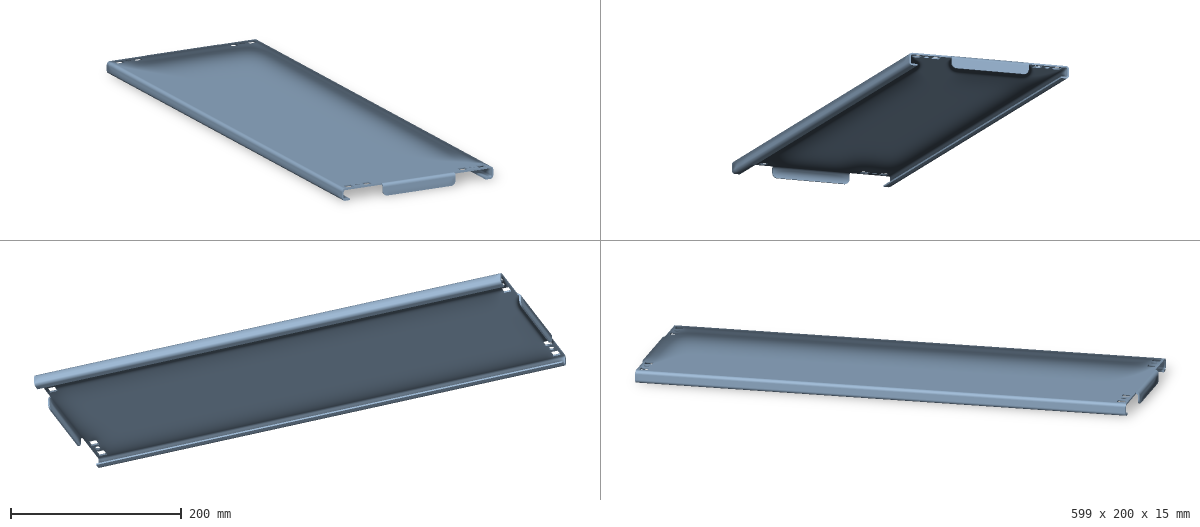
import cadquery as cq

length = 599.0
width = 200.0
height = 15.0

thickness = 2.0
outer_radius = 4.0
inner_radius = outer_radius - thickness
lip_width = 10.0

flap_width = 96.0
flap_corner_radius = 6.0

hole_inset = 12.0
square_size = 9.5
round_diameter = 6.5
round_y = 75.5
square_spacing = 12.0

panel_length = length - 2 * outer_radius
hole_x = length / 2 - hole_inset


def make_channel():
    """Panel with both long edges rolled into flanges and inward lips."""
    block = cq.Workplane("XY").box(panel_length, width, height).translate((0, 0, -height / 2))
    block = block.edges("|X").fillet(outer_radius)
    cavity = (
        cq.Workplane("XY")
        .box(panel_length, width - 2 * thickness, height - 2 * thickness)
        .translate((0, 0, -height / 2))
        .edges("|X")
        .fillet(inner_radius)
    )
    opening = (
        cq.Workplane("XY")
        .workplane(offset=-height)
        .rect(panel_length, width - 2 * lip_width)
        .extrude(height - thickness)
    )
    return block.cut(cavity).cut(opening)


def make_flap():
    """Flap at the +X end: a quarter bend, then a plate with rounded lower corners."""
    bend_start = panel_length / 2
    outer_face = length / 2
    inner_face = outer_face - thickness
    bend_end = -outer_radius
    profile = (
        cq.Workplane("XZ")
        .moveTo(bend_start, 0)
        .radiusArc((outer_face, bend_end), outer_radius)
        .lineTo(outer_face, -height)
        .lineTo(inner_face, -height)
        .lineTo(inner_face, bend_end)
        .radiusArc((bend_start, -thickness), -inner_radius)
        .close()
    )
    flap = profile.extrude(flap_width / 2, both=True)
    return flap.edges("|X and <Z").fillet(flap_corner_radius)


def make_holes():
    """Cutters for one round hole between two square ones at each corner."""
    corners = [(side_x * hole_x, side_y) for side_x in (-1, 1) for side_y in (-1, 1)]
    round_points = [(x, side_y * round_y) for x, side_y in corners]
    square_points = [
        (x, side_y * (round_y + offset))
        for x, side_y in corners
        for offset in (-square_spacing, square_spacing)
    ]
    plane = cq.Workplane("XY").workplane(offset=-thickness)
    round_holes = plane.pushPoints(round_points).circle(round_diameter / 2).extrude(thickness)
    square_holes = plane.pushPoints(square_points).rect(square_size, square_size).extrude(thickness)
    return round_holes.union(square_holes)


flap = make_flap()
result = make_channel().union(flap).union(flap.mirror("YZ")).cut(make_holes())